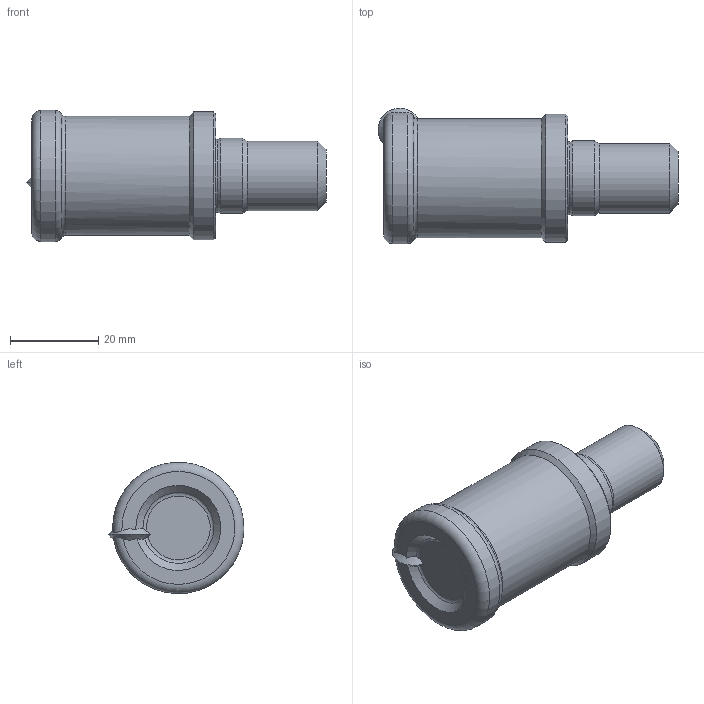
import cadquery as cq
import math


head_diameter = 29.77
head_front_round = 2.08
head_crown_end = 5.36
head_back_end = 7.6
crown_share = 0.64

recess_diameter = 19.27
recess_cone_depth = 1.6
recess_floor_diameter = 14.45

barrel_diameter = 27.0
flange_front = 35.72
flange_back = 41.72
flange_diameter = 29.0
flange_front_chamfer = (flange_diameter - barrel_diameter) / 2
flange_back_chamfer = 0.4

neck_diameter = 16.6
neck_length = 0.5
pilot_diameter = 17.0
pilot_lead_in = 0.6
pilot_length = 5.0
pilot_lead_out = 1.0
shank_diameter = 15.75
shank_length = 25.0
shank_chamfer = 1.85

blade_tip_x = -1.28
blade_tip_y = 15.915
blade_z = -1.48
blade_radius = 4.93


def turned_body():
    """Revolve the complete outline, from the recess floor out to the end of the shank."""
    head_radius = head_diameter / 2
    barrel_radius = barrel_diameter / 2
    flange_radius = flange_diameter / 2
    neck_radius = neck_diameter / 2
    pilot_radius = pilot_diameter / 2
    shank_radius = shank_diameter / 2

    recess_radius = recess_diameter / 2
    cone_end_radius = recess_radius - recess_cone_depth
    floor_radius = recess_floor_diameter / 2
    blend_width = cone_end_radius - floor_radius
    recess_depth = recess_cone_depth + blend_width * math.tan(math.radians(22.5))
    face_radius = head_radius - head_front_round
    round_inset = head_front_round * (1 - math.cos(math.radians(45)))

    back_length = head_back_end - head_crown_end
    back_drop = head_radius - barrel_radius
    s_curve_middle = (
        head_crown_end + crown_share * back_length,
        head_radius - crown_share * back_drop,
    )

    neck_end = flange_back + neck_length
    pilot_start = neck_end + pilot_lead_in
    pilot_end = pilot_start + pilot_length
    shank_end = flange_back + shank_length

    return (
        cq.Workplane("XY")
        .moveTo(recess_depth, 0)
        .lineTo(recess_depth, floor_radius)
        .tangentArcPoint((recess_cone_depth, cone_end_radius), relative=False)
        .lineTo(0, recess_radius)
        .lineTo(0, face_radius)
        .threePointArc(
            (round_inset, head_radius - round_inset),
            (head_front_round, head_radius),
        )
        .lineTo(head_crown_end, head_radius)
        .tangentArcPoint(s_curve_middle, relative=False)
        .tangentArcPoint((head_back_end, barrel_radius), relative=False)
        .lineTo(flange_front, barrel_radius)
        .lineTo(flange_front + flange_front_chamfer, flange_radius)
        .lineTo(flange_back - flange_back_chamfer, flange_radius)
        .lineTo(flange_back, flange_radius - flange_back_chamfer)
        .lineTo(flange_back, neck_radius)
        .lineTo(neck_end, neck_radius)
        .lineTo(pilot_start, pilot_radius)
        .lineTo(pilot_end, pilot_radius)
        .lineTo(pilot_end + pilot_lead_out, shank_radius)
        .lineTo(shank_end - shank_chamfer, shank_radius)
        .lineTo(shank_end, shank_radius - shank_chamfer)
        .lineTo(shank_end, 0)
        .close()
        .revolve(360, (0, 0, 0), (1, 0, 0))
    )


def blade():
    """Double cone whose sharp rim lies in a plane normal to Z."""
    return (
        cq.Workplane("XZ")
        .moveTo(0, -blade_radius)
        .lineTo(blade_radius, 0)
        .lineTo(0, blade_radius)
        .close()
        .revolve(360, (0, 0, 0), (0, 1, 0))
        .translate((blade_tip_x + blade_radius, blade_tip_y - blade_radius, blade_z))
    )


result = turned_body().union(blade())